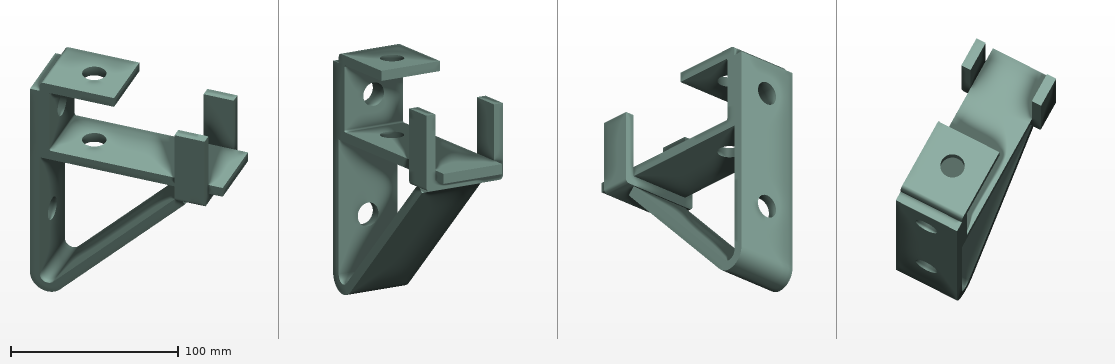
import cadquery as cq
import math

thickness = 6.3
total_height = 148.8
total_width = 54.0
strip_width = total_width - 2 * thickness

shelf_length = 123.8
shelf_top = 101.2
shelf_bottom = shelf_top - thickness
flange_length = 54.0
flange_bottom = total_height - thickness
channel_outer_radius = 2.5
channel_inner_radius = 1.2

bend_outer_radius = 11.3
bend_inner_radius = bend_outer_radius - thickness
brace_end_x = 95.3
brace_angle = math.radians(45)

clip_start = 95.3
clip_length = 19.3
clip_top = 136.0
clip_bottom = shelf_bottom - thickness
clip_corner_radius = 2.4

hole_diameter = 14.6
upper_hole_height = 121.6
lower_hole_height = 45.5
flange_hole_x = 33.2


def plate(start_x, end_x, bottom, top, width=strip_width):
    """Rectangular block centred across the strip."""
    block = cq.Workplane("XY").box(end_x - start_x, width, top - bottom, centered=(False, True, False))
    return block.translate((start_x, 0, bottom))


def make_channel():
    """Top flange, web and shelf, with rounded bends."""
    web_face = 2 * thickness
    body = plate(thickness, shelf_length, shelf_bottom, total_height)
    body = body.edges("|Y and <X and >Z").fillet(channel_outer_radius)
    opening = plate(web_face, shelf_length, shelf_top, flange_bottom)
    opening = opening.edges("|Y and <X").fillet(channel_inner_radius)
    beyond_flange = plate(flange_length, shelf_length, shelf_top, total_height)
    return body.cut(opening).cut(beyond_flange)


def make_wall_strip():
    """Wall plate that bends round at the bottom into the sloping brace."""
    center = bend_outer_radius
    along = (math.cos(brace_angle), math.sin(brace_angle))
    outward = (math.sin(brace_angle), -math.cos(brace_angle))

    def bend_point(radius, direction):
        return (center + radius * direction[0], center + radius * direction[1])

    inner_tangent = bend_point(bend_inner_radius, outward)
    outer_tangent = bend_point(bend_outer_radius, outward)
    brace_length = (brace_end_x - inner_tangent[0]) / along[0]

    def brace_end(tangent):
        return (tangent[0] + brace_length * along[0], tangent[1] + brace_length * along[1])

    down = (0, -1)
    return (
        cq.Workplane("XZ")
        .moveTo(0, flange_bottom)
        .lineTo(0, center)
        .threePointArc(bend_point(bend_outer_radius, down), outer_tangent)
        .lineTo(*brace_end(outer_tangent))
        .lineTo(*brace_end(inner_tangent))
        .lineTo(*inner_tangent)
        .threePointArc(bend_point(bend_inner_radius, down), (thickness, center))
        .lineTo(thickness, flange_bottom)
        .close()
        .extrude(strip_width / 2, both=True)
    )


def make_clip():
    """U-shaped clip wrapped under the shelf, its arms rising on both sides."""
    clip_end = clip_start + clip_length
    outer = plate(clip_start, clip_end, clip_bottom, clip_top, total_width)
    outer = outer.edges("|X and <Z").fillet(clip_corner_radius)
    return outer.cut(plate(clip_start, clip_end, shelf_bottom, clip_top))


def wall_hole(height):
    """Cylinder through the wall plate and web."""
    return cq.Workplane("YZ").center(0, height).circle(hole_diameter / 2).extrude(2 * thickness)


def flange_hole():
    """Vertical cylinder through the top flange and the shelf."""
    profile = cq.Workplane("XY", origin=(flange_hole_x, 0, shelf_bottom)).circle(hole_diameter / 2)
    return profile.extrude(total_height - shelf_bottom)


result = make_channel().union(make_wall_strip()).union(make_clip())
for hole_height in (upper_hole_height, lower_hole_height):
    result = result.cut(wall_hole(hole_height))
result = result.cut(flange_hole())